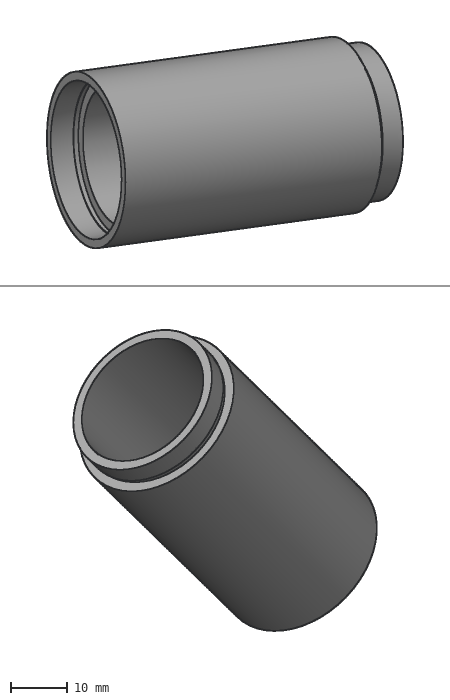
import cadquery as cq

total_length = 55.8
outer_diameter = 31.7
bore_diameter = 25.0

spigot_diameter = 28.5
neck_diameter = 28.0
spigot_length = 5.0
neck_length = 1.0

socket_diameter = spigot_diameter
socket_depth = 5.5

undercut_diameter = 28.75
undercut_length = neck_length

front_y = -total_length / 2
back_y = total_length / 2
shoulder_y = back_y - spigot_length


def cylinder(diameter, start_y, length):
    """Solid cylinder on the Y axis, running from start_y toward +Y."""
    base = cq.Workplane("XZ", origin=(0, start_y, 0))
    return base.circle(diameter / 2).extrude(-length)


body = cylinder(outer_diameter, front_y, total_length - spigot_length)
neck = cylinder(neck_diameter, shoulder_y, neck_length)
collar = cylinder(spigot_diameter, shoulder_y + neck_length, spigot_length - neck_length)
bore = cylinder(bore_diameter, front_y, total_length)
socket = cylinder(socket_diameter, front_y, socket_depth)
undercut = cylinder(undercut_diameter, front_y + socket_depth - undercut_length, undercut_length)

result = body.union(neck).union(collar).cut(bore).cut(socket).cut(undercut)